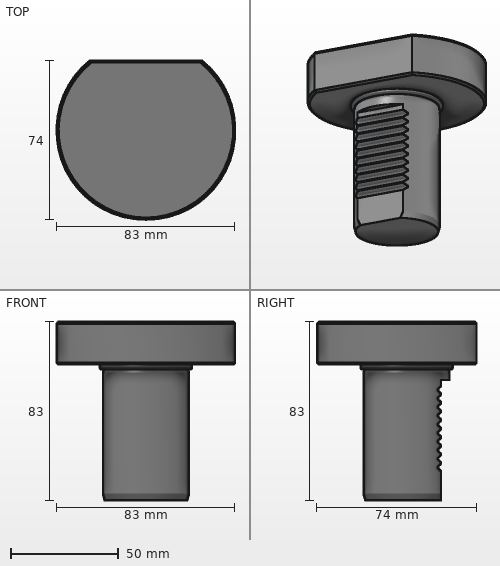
import cadquery as cq
import math


head_radius = 41.5
head_height = 20.0
head_flat_y = 32.5
head_chamfer = 1.0

shank_radius = 20.0
shank_length = 63.0
tip_length = 3.0
tip_angle = 15.0
tip_radius = shank_radius - tip_length * math.tan(math.radians(tip_angle))

flat_y = 16.0
flat_start = 7.2
groove_count = 10
groove_pitch = 4.0
first_groove_distance = 11.65
groove_width = 3.5
groove_root_radius = 0.4

ring_section_radius = 1.25
ring_outer_radius = 21.5
ring_center_radius = ring_outer_radius - ring_section_radius
ring_center_z = -1.0
neck_radius = 19.6
neck_end = 3.7


def make_ring():
    center = cq.Vector(0, 0, ring_center_z)
    torus = cq.Solid.makeTorus(ring_center_radius, ring_section_radius, center)
    return cq.Workplane(torus)


def make_head():
    disc = cq.Workplane("XY").circle(head_radius).extrude(head_height)
    beyond_flat = (
        cq.Workplane("XY")
        .center(0, head_flat_y + head_radius)
        .rect(2 * head_radius, 2 * head_radius)
        .extrude(head_height)
    )
    return disc.cut(beyond_flat).faces("<Z or >Z").chamfer(head_chamfer)


def make_shank():
    neck_start = ring_section_radius - ring_center_z
    half_profile = [
        (0, 0),
        (neck_radius, 0),
        (neck_radius, -neck_start),
        (shank_radius, -neck_end),
        (shank_radius, tip_length - shank_length),
        (tip_radius, -shank_length),
        (0, -shank_length),
    ]
    return cq.Workplane("XZ").polyline(half_profile).close().revolve(360, (0, 0), (0, 1))


def make_flat_cut():
    cut_height = shank_length - flat_start
    return (
        cq.Workplane("XY", origin=(0, flat_y + shank_radius, -shank_length))
        .rect(2 * shank_radius, 2 * shank_radius)
        .extrude(cut_height)
    )


def make_groove_cut(center_z):
    half_width = groove_width / 2
    return (
        cq.Workplane("YZ", origin=(-shank_radius, flat_y, center_z))
        .polyline([(0, half_width), (-half_width, 0), (0, -half_width), (half_width, 0)])
        .close()
        .extrude(2 * shank_radius)
        .edges("<Y")
        .fillet(groove_root_radius)
    )


ring = make_ring()
holder = make_head().union(make_shank()).cut(make_flat_cut())
for index in range(groove_count):
    holder = holder.cut(make_groove_cut(-first_groove_distance - index * groove_pitch))
holder = holder.cut(ring)

result = cq.Compound.makeCompound([holder.val(), ring.val()])